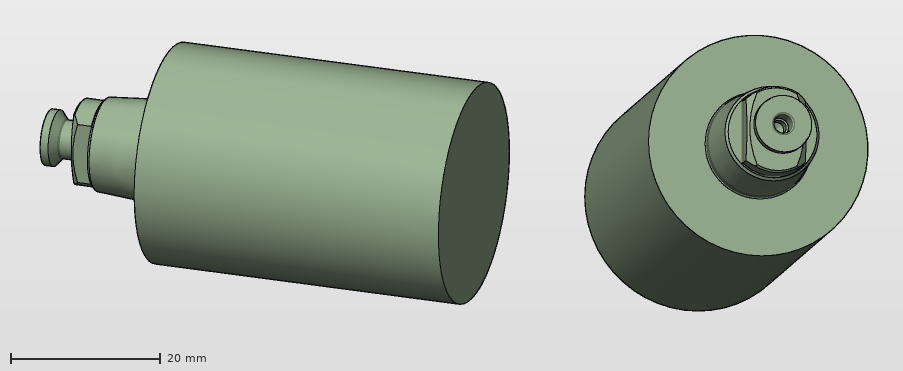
import cadquery as cq
import math

total_length = 60.0
roller_diameter = 30.0
roller_start = 17.05

head_diameter = 7.7
head_rim_end = 1.15
neck_diameter = 5.3
neck_start = 2.2
neck_root_round = 0.2

wrench_start = 4.4
wrench_end = 7.45
wrench_diameter = 11.7
wrench_edge_chamfer = 0.25
flat_width = 8.1
wrench_root_round = 0.1

bevel_face_radius = 12.6
bevel_face_reach = 3.7

shank_small_diameter = 12.85
shank_chamfer = 0.35
shank_large_diameter = 14.15
taper_end = 15.95
base_round = 0.2

bore_diameter = 2.5
bore_depth = 3.0
bore_mouth_round = 0.25
inner_bore_diameter = 2.0
inner_bore_depth = 4.8
bore_tip_angle = 120.0


def revolve_about_x(points):
    """Revolve a closed outline of (x, radius) points about the X axis."""
    return cq.Workplane("XY").polyline(points).close().revolve(360, (0, 0, 0), (1, 0, 0))


def make_head_and_neck():
    head_radius = head_diameter / 2
    neck_radius = neck_diameter / 2
    return revolve_about_x([
        (0, 0),
        (0, head_radius),
        (head_rim_end, head_radius),
        (neck_start, neck_radius),
        (wrench_start, neck_radius),
        (wrench_start, 0),
    ])


def make_bevel_cone(side):
    """Cone that keeps the material inside the bevel on one side (+1 or -1)."""
    length = wrench_end - wrench_start
    axis_y = side * (bevel_face_reach - bevel_face_radius)
    plane = cq.Plane(origin=(wrench_start, axis_y, 0), xDir=(0, 1, 0), normal=(1, 0, 0))
    return cq.Workplane(plane).circle(bevel_face_radius).extrude(length, taper=-45)


def make_wrench_section():
    length = wrench_end - wrench_start
    section = (
        cq.Workplane("YZ", origin=(wrench_start, 0, 0))
        .circle(wrench_diameter / 2)
        .extrude(length)
        .faces("<X")
        .chamfer(wrench_edge_chamfer)
    )
    flats = cq.Workplane("YZ", origin=(wrench_start, 0, 0)).rect(flat_width, wrench_diameter).extrude(length)
    section = section.intersect(flats)
    for side in (1, -1):
        section = section.intersect(make_bevel_cone(side))
    return section


def make_shank():
    small_radius = shank_small_diameter / 2
    large_radius = shank_large_diameter / 2
    arc_offset = base_round * math.sqrt(0.5)
    arc_center_x = roller_start - base_round
    arc_center_radius = large_radius + base_round
    return (
        cq.Workplane("XY")
        .moveTo(wrench_end, 0)
        .lineTo(wrench_end, small_radius - shank_chamfer)
        .lineTo(wrench_end + shank_chamfer, small_radius)
        .lineTo(taper_end, large_radius)
        .lineTo(arc_center_x, large_radius)
        .threePointArc(
            (arc_center_x + arc_offset, arc_center_radius - arc_offset),
            (roller_start, arc_center_radius),
        )
        .lineTo(roller_start, 0)
        .close()
        .revolve(360, (0, 0, 0), (1, 0, 0))
    )


def make_bore():
    bore_radius = bore_diameter / 2
    inner_radius = inner_bore_diameter / 2
    tip_slope = math.tan(math.radians(bore_tip_angle / 2))
    return revolve_about_x([
        (0, 0),
        (0, bore_radius),
        (bore_depth, bore_radius),
        (bore_depth + (bore_radius - inner_radius) / tip_slope, inner_radius),
        (inner_bore_depth, inner_radius),
        (inner_bore_depth + inner_radius / tip_slope, 0),
    ])


def edges_at(solid, x, max_radius):
    """Edges lying in the plane at x whose bounding box stays within max_radius of the axis."""
    tolerance = 0.005
    reach = max_radius + tolerance
    return solid.edges(cq.selectors.BoxSelector(
        (x - tolerance, -reach, -reach),
        (x + tolerance, reach, reach),
        boundingbox=True,
    ))


def make_fitting():
    fitting = make_head_and_neck().union(make_wrench_section()).union(make_shank())
    fitting = edges_at(fitting, wrench_start, neck_diameter / 2).fillet(neck_root_round)
    fitting = edges_at(fitting, neck_start, neck_diameter / 2).fillet(neck_root_round)
    fitting = edges_at(fitting, wrench_end, wrench_diameter / 2).fillet(wrench_root_round)
    fitting = fitting.cut(make_bore())
    return edges_at(fitting, 0, bore_diameter / 2).fillet(bore_mouth_round)


def make_roller():
    roller_length = total_length - roller_start
    return cq.Workplane("YZ", origin=(roller_start, 0, 0)).circle(roller_diameter / 2).extrude(roller_length)


fitting = make_fitting()
roller = make_roller()
result = cq.Compound.makeCompound([fitting.val(), roller.val()])